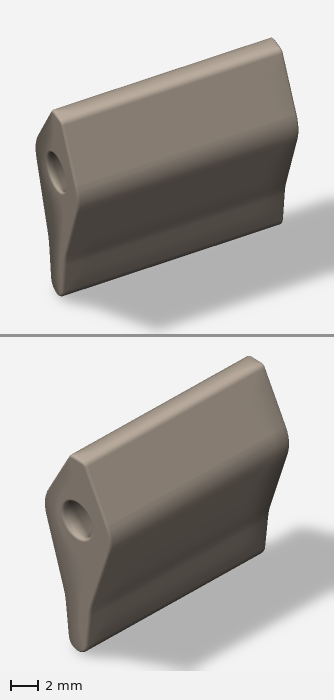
import cadquery as cq
import math

width = 7.09
length = 18.09
height = 17.45

top_above_bore = 5.57
shoulder_drop = 0.29
top_flat_width = 1.0
crown_radius = 0.5
shoulder_radius = 3.0
waist_radius = 5.0
tip_radius = 1.0
flank_angle = 17.9
tail_angle = 6.2

bore_diameter = 3.05
edge_radius = 0.2


def on_circle(center, radius, degrees):
    """Point on a circle, with the angle measured from +X towards +Z."""
    angle = math.radians(degrees)
    return (center[0] + radius * math.cos(angle), center[1] + radius * math.sin(angle))


def mirrored(point):
    return (-point[0], point[1])


def common_tangent_angle(upper_center, upper_radius, lower_center, lower_radius):
    """Direction, in degrees, of the outward normal of the line touching both rounds."""
    across = lower_center[0] - upper_center[0]
    down = upper_center[1] - lower_center[1]
    spacing = math.hypot(across, down)
    offset = math.asin((lower_radius - upper_radius) / spacing)
    return math.degrees(offset + math.atan2(across, down))


def waist_corner(flank_point, tip_point):
    """Point where the straight flank meets the straight tail side."""
    flank_slope = math.tan(math.radians(flank_angle))
    tail_slope = math.tan(math.radians(tail_angle))
    flank_at_axis = flank_point[0] - flank_slope * flank_point[1]
    tail_at_axis = tip_point[0] - tail_slope * tip_point[1]
    z = (tail_at_axis - flank_at_axis) / (flank_slope - tail_slope)
    return (flank_at_axis + flank_slope * z, z)


def make_body():
    top = top_above_bore
    bottom = top - height
    crown_center = (top_flat_width / 2, top - crown_radius)
    shoulder_center = (width / 2 - shoulder_radius, -shoulder_drop)
    tip_center = (0, bottom + tip_radius)
    roof_angle = common_tangent_angle(crown_center, crown_radius, shoulder_center, shoulder_radius)

    crown_start = (crown_center[0], top)
    crown_middle = on_circle(crown_center, crown_radius, (90 + roof_angle) / 2)
    crown_end = on_circle(crown_center, crown_radius, roof_angle)
    shoulder_start = on_circle(shoulder_center, shoulder_radius, roof_angle)
    shoulder_middle = on_circle(shoulder_center, shoulder_radius, 0)
    shoulder_end = on_circle(shoulder_center, shoulder_radius, -flank_angle)
    tip_start = on_circle(tip_center, tip_radius, -tail_angle)

    corner = waist_corner(shoulder_end, tip_start)
    setback = waist_radius * math.tan(math.radians(flank_angle - tail_angle) / 2)
    waist_start = on_circle(corner, setback, 90 - flank_angle)
    waist_center = on_circle(waist_start, waist_radius, -flank_angle)
    waist_middle = on_circle(waist_center, waist_radius, 180 - (flank_angle + tail_angle) / 2)
    waist_end = on_circle(waist_center, waist_radius, 180 - tail_angle)

    outline = (
        cq.Workplane("XZ", origin=(0, length / 2, 0))
        .moveTo(*mirrored(crown_start))
        .lineTo(*crown_start)
        .threePointArc(crown_middle, crown_end)
        .lineTo(*shoulder_start)
        .threePointArc(shoulder_middle, shoulder_end)
        .lineTo(*waist_start)
        .threePointArc(waist_middle, waist_end)
        .lineTo(*tip_start)
        .threePointArc((0, bottom), mirrored(tip_start))
        .lineTo(*mirrored(waist_end))
        .threePointArc(mirrored(waist_middle), mirrored(waist_start))
        .lineTo(*mirrored(shoulder_end))
        .threePointArc(mirrored(shoulder_middle), mirrored(shoulder_start))
        .lineTo(*mirrored(crown_end))
        .threePointArc(mirrored(crown_middle), mirrored(crown_start))
        .close()
    )
    return outline.extrude(length)


def make_bore():
    return cq.Workplane("XZ", origin=(0, length / 2, 0)).circle(bore_diameter / 2).extrude(length)


def round_end_edges(body):
    """Round the outline and the bore mouth on both end faces."""
    return body.faces("<Y or >Y").edges().fillet(edge_radius)


result = round_end_edges(make_body().cut(make_bore()))